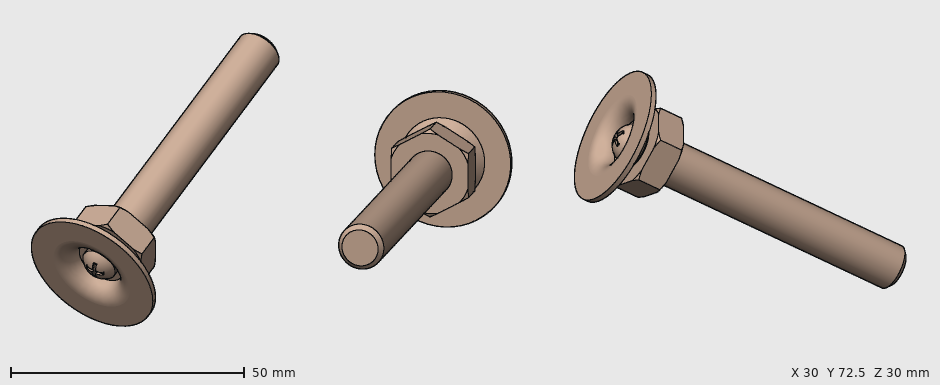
import cadquery as cq
import math

total_length = 72.5
plate_diameter = 30.0
plate_thickness = 1.2
rod_diameter = 10.0
rod_chamfer = 1.0
cone_base_radius = 9.3
cone_top_radius = 4.65
cone_end = 5.95
nut_start = 6.15
nut_height = 6.4
nut_across_flats = 17.0
nut_chamfer_angle = 30.0
nut_face_diameter = 17.8
cup_floor_radius = 5.45
cup_round_radius = 4.0
tip_radius = 4.0
tip_step = 1.0
dome_height = 2.25
cross_length = 4.2
cross_width = 0.8
cross_depth = 0.7

nut_end = nut_start + nut_height


def revolve_about_y(profile):
    return profile.close().revolve(360, (0, 0, 0), (0, 1, 0))


def make_foot():
    """Thin plate, cone and short neck, with a flared cup open to the front."""
    plate_radius = plate_diameter / 2
    cup_mouth_radius = cup_floor_radius + cup_round_radius
    arc_offset = cup_round_radius * math.sqrt(0.5)
    arc_middle = (cup_mouth_radius - arc_offset, cup_round_radius - arc_offset)
    return revolve_about_y(
        cq.Workplane("XY")
        .moveTo(0, cup_round_radius)
        .lineTo(cup_floor_radius, cup_round_radius)
        .threePointArc(arc_middle, (cup_mouth_radius, 0))
        .lineTo(plate_radius, 0)
        .lineTo(plate_radius, plate_thickness)
        .lineTo(cone_base_radius, plate_thickness)
        .lineTo(cone_top_radius, cone_end)
        .lineTo(cone_top_radius, nut_start)
        .lineTo(0, nut_start)
    )


def make_rod():
    """Plain rod with a chamfered far end, starting where the neck meets the nut."""
    radius = rod_diameter / 2
    return revolve_about_y(
        cq.Workplane("XY")
        .moveTo(0, nut_start)
        .lineTo(radius, nut_start)
        .lineTo(radius, total_length - rod_chamfer)
        .lineTo(radius - rod_chamfer, total_length)
        .lineTo(0, total_length)
    )


def make_nut():
    """Hexagon with corners up and down, chamfered on both faces."""
    corner_radius = nut_across_flats / math.sqrt(3)
    corner_angles = [math.radians(60 * i) for i in range(6)]
    corners = [(corner_radius * math.sin(a), corner_radius * math.cos(a)) for a in corner_angles]
    hexagon = (
        cq.Workplane("XZ", origin=(0, nut_end, 0)).polyline(corners).close().extrude(nut_height)
    )
    face_radius = nut_face_diameter / 2
    bevel_drop = (corner_radius - face_radius) * math.tan(math.radians(nut_chamfer_angle))
    bevel_envelope = revolve_about_y(
        cq.Workplane("XY")
        .moveTo(0, nut_start)
        .lineTo(face_radius, nut_start)
        .lineTo(corner_radius, nut_start + bevel_drop)
        .lineTo(corner_radius, nut_end - bevel_drop)
        .lineTo(face_radius, nut_end)
        .lineTo(0, nut_end)
    )
    return hexagon.intersect(bevel_envelope)


def make_tip():
    """Rounded rod tip in the cup, with a cross recess."""
    dome_base = cup_round_radius - tip_step
    tip_front = dome_base - dome_height
    sphere_radius = (tip_radius**2 + dome_height**2) / (2 * dome_height)
    arc_angle = math.asin(tip_radius / sphere_radius) / 2
    arc_middle = (
        sphere_radius * math.sin(arc_angle),
        tip_front + sphere_radius * (1 - math.cos(arc_angle)),
    )
    dome = revolve_about_y(
        cq.Workplane("XY")
        .moveTo(0, tip_front)
        .threePointArc(arc_middle, (tip_radius, dome_base))
        .lineTo(tip_radius, cup_round_radius)
        .lineTo(0, cup_round_radius)
    )
    slot = cq.Workplane("XY").box(cross_length, 2 * cross_depth, cross_width)
    cross = slot.union(slot.rotate((0, 0, 0), (0, 1, 0), 90))
    return dome.cut(cross.translate((0, tip_front, 0)))


result = make_foot().union(make_rod()).union(make_nut()).union(make_tip())